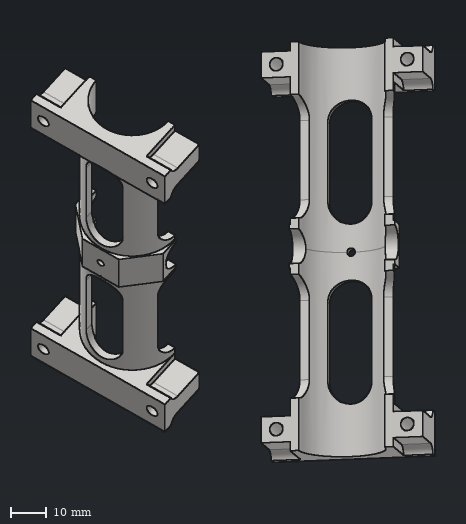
import cadquery as cq
import math

length = 118.1
block_width = 47.0
block_depth = 16.8
block_height = 12.8
bore_radius = 12.5
tube_radius = 15.0

collar_apothem = 15.4
collar_height = 12.8
collar_hole_diameter = 2.2
collar_notch_radius = 5.0

window_width = 12.8
window_length = 35.7
window_offset = 26.0

mount_hole_diameter = 3.8
mount_hole_offset = 19.0
ear_thickness = 7.5
ear_flat_depth = 10.5
ear_relief_depth = 13.8

block_offset = (length - block_height) / 2
relief_height = (block_height - ear_thickness) / 2
relief_run = ear_relief_depth - ear_flat_depth
relief_radius = (relief_run**2 + relief_height**2) / (2 * relief_height)


def relief_arc_midpoint():
    """Return the (y, height above ear face) of the middle of the relief arc."""
    half_sweep = math.asin(relief_run / relief_radius) / 2
    y = -ear_flat_depth - relief_radius * math.sin(half_sweep)
    height = relief_radius * (1 - math.cos(half_sweep))
    return y, height


def make_end_block():
    """Rectangular end block centred on Z = 0, with thinned ears and mounting holes."""
    block = cq.Workplane("XY").box(block_width, block_depth, block_height)
    block = block.translate((0, -block_depth / 2, 0))

    ear_face = ear_thickness / 2
    arc_y, arc_height = relief_arc_midpoint()
    ear_width = block_width / 2 - tube_radius
    relief = (
        cq.Workplane("YZ")
        .workplane(offset=tube_radius)
        .moveTo(0, ear_face)
        .lineTo(-ear_flat_depth, ear_face)
        .threePointArc((arc_y, ear_face + arc_height), (-ear_relief_depth, block_height / 2))
        .lineTo(0, block_height / 2)
        .close()
        .extrude(ear_width)
    )
    relief_pair = relief.union(relief.mirror("XY"))
    block = block.cut(relief_pair).cut(relief_pair.mirror("YZ"))

    holes = (
        cq.Workplane("XZ")
        .pushPoints([(-mount_hole_offset, 0), (mount_hole_offset, 0)])
        .circle(mount_hole_diameter / 2)
        .extrude(block_depth)
    )
    return block.cut(holes)


def make_collar():
    """Octagonal collar with flats facing X and Y."""
    corner_diameter = 2 * collar_apothem / math.cos(math.pi / 8)
    collar = cq.Workplane("XY").polygon(8, corner_diameter).extrude(collar_height / 2, both=True)
    return collar.rotate((0, 0, 0), (0, 0, 1), 180 / 8)


def make_windows():
    """Window cutters: slots through the front wall and matching cuts in the side edges."""
    centres = [(0, -window_offset), (0, window_offset)]
    front = (
        cq.Workplane("XZ")
        .pushPoints(centres)
        .slot2D(window_length, window_width, 90)
        .extrude(block_depth)
    )
    sides = (
        cq.Workplane("YZ")
        .pushPoints(centres)
        .slot2D(window_length, window_width, 90)
        .extrude(block_width / 2, both=True)
    )
    return front.union(sides)


tube = cq.Workplane("XY").circle(tube_radius).extrude(length / 2, both=True)
front_half = (
    cq.Workplane("XY")
    .box(block_width, block_depth, length)
    .translate((0, -block_depth / 2, 0))
)
body = tube.union(make_collar()).intersect(front_half)

for z in (-block_offset, block_offset):
    body = body.union(make_end_block().translate((0, 0, z)))

bore = cq.Workplane("XY").circle(bore_radius).extrude(length / 2, both=True)
body = body.cut(bore).cut(make_windows())

collar_hole = cq.Workplane("XZ").circle(collar_hole_diameter / 2).extrude(block_depth)
collar_notch = (
    cq.Workplane("YZ").circle(collar_notch_radius).extrude(block_width / 2, both=True)
)
result = body.cut(collar_hole).cut(collar_notch)